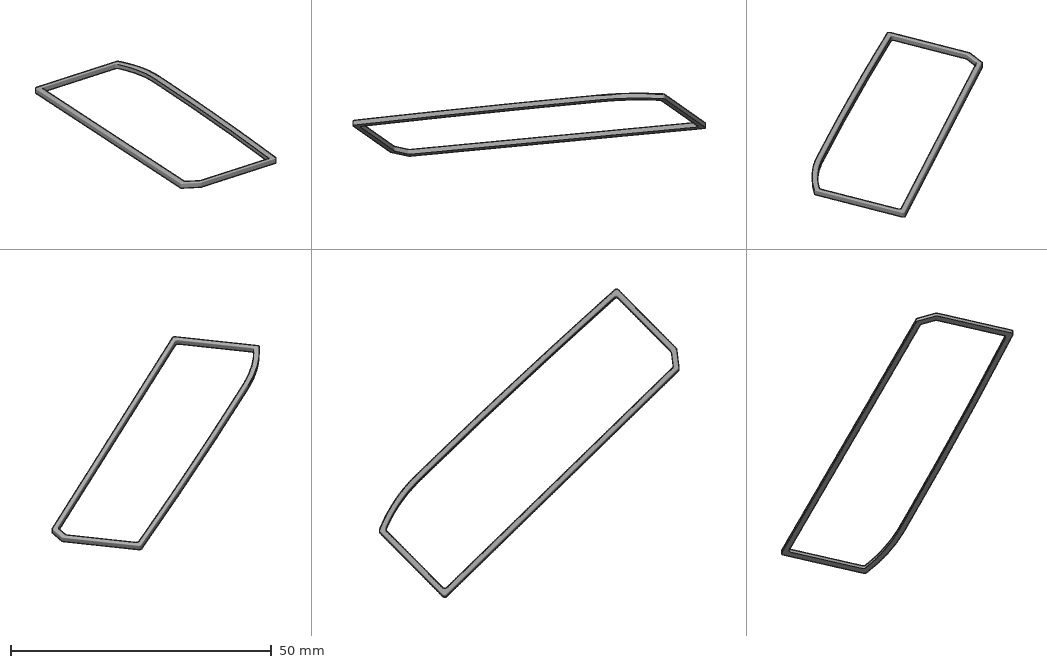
import cadquery as cq
import math

LENGTH = 66.53
DEPTH = 20.41
HEIGHT = 4.21
SLOPE_DEG = 9.0

BAR_WIDTH = 1.1
TOP_FILLET = 0.2
CORNER_RADIUS = 0.5

slope = math.radians(SLOPE_DEG)
BAR_THICKNESS = HEIGHT - (DEPTH - TOP_FILLET) * math.tan(slope)

CROWN_X = 12.5
LEFT_SIDE_END_Y = 17.75
RIGHT_SIDE_END_Y = 19.3
CORNER_CUT_X = 2.45
CORNER_CUT_Y = 3.1


def crown_arc_midpoint(end_x, end_y):
    """Point halfway in X along the arc that leaves the crown level and ends at the given point."""
    run = end_x - CROWN_X
    drop = DEPTH - end_y
    radius = (run**2 + drop**2) / (2 * drop)
    half_run = run / 2
    return (CROWN_X + half_run, DEPTH - radius + math.sqrt(radius**2 - half_run**2))


def outline():
    """Outer edge in plan: straight left, front and right sides, a cut corner and a bowed back."""
    return (
        cq.Workplane("XY")
        .lineTo(LENGTH - CORNER_CUT_X, 0)
        .lineTo(LENGTH, CORNER_CUT_Y)
        .lineTo(LENGTH, RIGHT_SIDE_END_Y)
        .threePointArc(crown_arc_midpoint(LENGTH, RIGHT_SIDE_END_Y), (CROWN_X, DEPTH))
        .threePointArc(crown_arc_midpoint(0, LEFT_SIDE_END_Y), (0, LEFT_SIDE_END_Y))
        .close()
    )


def rounded_plate(profile):
    """Plate of the bar thickness with all corners rounded; the tangent crown seam is left alone."""
    corners = "|Z and (not >Y)"
    return profile.extrude(BAR_THICKNESS).edges(corners).fillet(CORNER_RADIUS)


def make_level_frame():
    """Level frame of even bar width with both edges of its top face rounded."""
    body = rounded_plate(outline())
    opening = rounded_plate(outline().offset2D(-BAR_WIDTH, "intersection"))
    return body.cut(opening).faces(">Z").edges().fillet(TOP_FILLET)


def raise_toward_back(frame):
    """Shear the frame upward in proportion to Y, which keeps its walls upright."""
    shear = cq.Matrix([[1, 0, 0, 0], [0, 1, 0, 0], [0, math.tan(slope), 1, 0]])
    return cq.Workplane("XY").newObject([frame.val().transformGeometry(shear)])


result = raise_toward_back(make_level_frame())